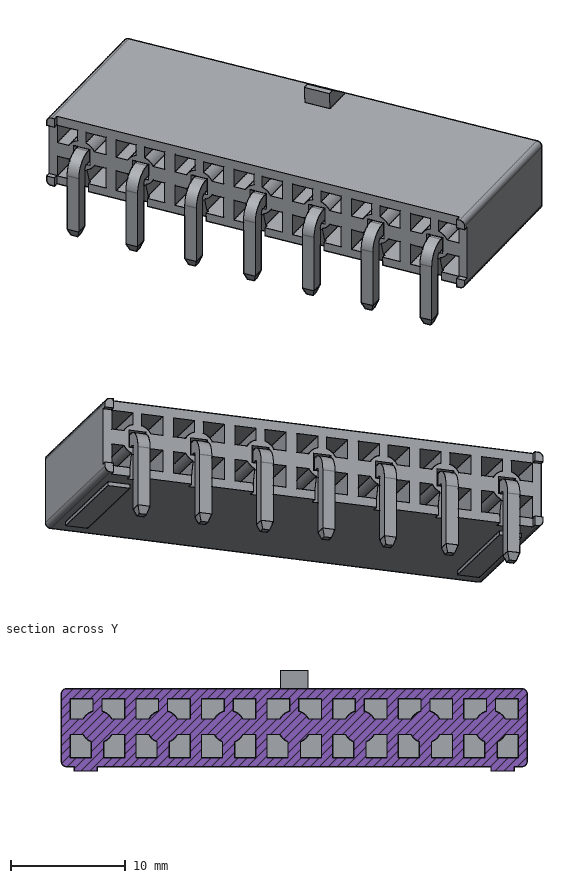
import cadquery as cq


width = 40.55
height = 6.8
depth = 14.7
corner_radius = 0.5

lip_reach = 0.5
lip_width = 0.77
lip_height = 0.85

latch_width = 2.45
latch_height = 1.6
latch_foot = 3.05
latch_reach = 3.15
latch_crest = 2.55

pad_span = 38.28
pad_width = 2.03
pad_length = 10.75
pad_thickness = 0.35
pad_back_gap = 2.05

pin_count = 7
row_span = 34.22
pitch = row_span / (pin_count - 1)
pin_width = 1.15
pin_size = 1.2
pin_axis_z = 3.4
pin_front = lip_reach + pin_size
pin_drop = 3.9
bend_outer_radius = 1.82
bend_inner_radius = 0.25
tip_length = 0.7
tip_size = 0.65
pin_root_depth = 1.2

boss_axis_z = 3.5
pocket_width = 4.7
pocket_top_z = 5.92
pocket_bottom_z = 0.8
crossbar_height = 1.38
pocket_depth = 6.1
upper_web = 0.8
lower_web = 1.1
boss_radius = 1.4

mouth_size = 1.6
mouth_throat = 1.2
mouth_depth = 0.4
relief_width = 1.35
relief_depth = 0.7

pin_xs = [(i - (pin_count - 1) / 2) * pitch for i in range(pin_count)]


def box(x_size, y_start, y_end, z_start, z_end, x_center=0.0):
    """Block centred on x_center between the given Y and Z limits."""
    block = cq.Workplane("XY").box(x_size, y_end - y_start, z_end - z_start, centered=(True, False, False))
    return block.translate((x_center, y_start, z_start))


def extrude_side(profile, x_size):
    """Extrude a Y-Z profile symmetrically about X = 0."""
    return profile.extrude(x_size / 2, both=True)


def make_housing():
    block = box(width, -lip_reach, depth, 0, height).edges("|Y").fillet(corner_radius)
    between_side_lips = box(width - 2 * lip_width, -lip_reach, 0, 0, height)
    between_end_lips = box(width, -lip_reach, 0, lip_height, height - lip_height)
    return block.cut(between_side_lips).cut(between_end_lips)


def make_latch():
    profile = (
        cq.Workplane("YZ")
        .moveTo(depth, height)
        .lineTo(depth - latch_crest, height + latch_height)
        .lineTo(depth - latch_reach, height + latch_height)
        .lineTo(depth - latch_foot, height)
        .close()
    )
    return extrude_side(profile, latch_width)


def make_pad(side):
    """Pad under one end of the housing, where side is -1 or 1."""
    pad_back = depth - pad_back_gap
    pad_x = side * (pad_span - pad_width) / 2
    return box(pad_width, pad_back - pad_length, pad_back, -pad_thickness, 0, pad_x)


def make_pocket_cut():
    """Two rows of pockets, split by a crossbar, a round boss and two webs."""
    crossbar_bottom = boss_axis_z - crossbar_height / 2
    crossbar_top = boss_axis_z + crossbar_height / 2
    upper = box(pocket_width, 0, pocket_depth, crossbar_top, pocket_top_z)
    upper = upper.cut(box(upper_web, 0, pocket_depth, crossbar_top, pocket_top_z))
    lower = box(pocket_width, 0, pocket_depth, pocket_bottom_z, crossbar_bottom)
    lower = lower.cut(box(lower_web, 0, pocket_depth, pocket_bottom_z, crossbar_bottom))
    boss = cq.Workplane("XZ").center(0, boss_axis_z).circle(boss_radius).extrude(-pocket_depth)
    return upper.union(lower).cut(boss)


def make_mouth_cut():
    """Square mouth that tapers inwards around the pin."""
    return (
        cq.Workplane("XZ")
        .center(0, boss_axis_z)
        .rect(mouth_size, mouth_size)
        .workplane(offset=-mouth_depth)
        .rect(mouth_throat, mouth_throat)
        .loft(ruled=True)
    )


def make_relief_cut():
    """Wedge below the boss that leans back towards the bottom."""
    relief_top = boss_axis_z - boss_radius
    profile = cq.Workplane("YZ").moveTo(0, relief_top).lineTo(relief_depth, 0).lineTo(0, 0).close()
    return extrude_side(profile, relief_width)


def make_pin():
    """Pin that leaves the housing forwards and bends down to a tapered tip."""
    top = pin_axis_z + pin_size / 2
    underside = pin_axis_z - pin_size / 2
    leg_back = -pin_front + pin_size
    shoulder = -pin_drop + tip_length
    profile = (
        cq.Workplane("YZ")
        .moveTo(pin_root_depth, top)
        .lineTo(-pin_front + bend_outer_radius, top)
        .radiusArc((-pin_front, top - bend_outer_radius), -bend_outer_radius)
        .lineTo(-pin_front, shoulder)
        .lineTo(leg_back, shoulder)
        .lineTo(leg_back, underside - bend_inner_radius)
        .radiusArc((leg_back + bend_inner_radius, underside), bend_inner_radius)
        .lineTo(pin_root_depth, underside)
        .close()
    )
    tip = (
        cq.Workplane("XY", origin=(0, -pin_front + pin_size / 2, shoulder))
        .rect(pin_width, pin_size)
        .workplane(offset=-tip_length)
        .rect(tip_size, tip_size)
        .loft(ruled=True)
    )
    return extrude_side(profile, pin_width).union(tip)


result = make_housing().union(make_latch()).union(make_pad(-1)).union(make_pad(1))
station_cut = make_pocket_cut().union(make_mouth_cut()).union(make_relief_cut())
pin = make_pin()
for pin_x in pin_xs:
    result = result.cut(station_cut.translate((pin_x, 0, 0)))
    result = result.union(pin.translate((pin_x, 0, 0)))